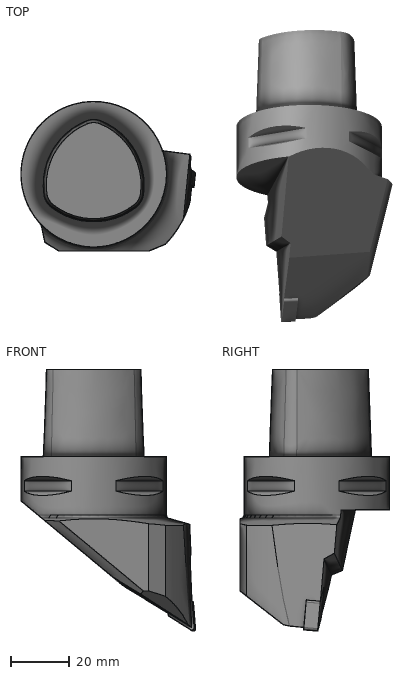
import cadquery as cq
import math

SHANK_HEIGHT = 30.0
SHANK_TAPER_OFFSET = 1.1
LOBE_CENTRE_RADIUS = 12.0
LOBE_TIP_RADIUS = 18.8
SHANK_FLAT_RADIUS = 16.4

FLANGE_RADIUS = 50.0 / 2
FLANGE_HEIGHT = 18.3
SLOT_COUNT = 4
SLOT_DEPTH = 2.8
SLOT_MID_Z = -10.1
SLOT_FLOOR_HEIGHT = 3.5
SLOT_MOUTH_HEIGHT = 6.6

HEAD_RADIUS = 34.5
HEAD_BOTTOM_Z = -67.5
NECK_BOTTOM_Z = -20.1
SHOULDER_RADIUS = 25.65
SHOULDER_Z = -21.15
SHOULDER_SLOPE = 0.28
FRONT_Y = -26.5
FRONT_CORNER_X = 18.9
FRONT_CHAMFER_DEPTH = 2.3

UNDERSIDE_TOP_Z = -15.2
UNDERSIDE_SLOPE = 0.83
UNDERSIDE_CHAMFER_Y = 3.1
UNDERSIDE_CHAMFER_X = 4.8
NOSE_POINT = (11.25, 3.9, -45.1)
NOSE_SLOPE_X = 0.62
NOSE_SLOPE_Y = 0.03
FRONT_BEVEL_Z = -46.2
FRONT_BEVEL_SLOPE = 0.78
END_POINT = (33.0, 6.9, -22.95)
END_SLOPE_Y = 0.1
END_SLOPE_Z = 0.05

RAKE_Y = 12.4
RAKE_SLOPE_X = 0.11
RAKE_SLOPE_Z = 0.082
CHIP_FACE_DROP = 3.4
CHIP_WALL_POINT = (3.8, 8.8, -39.15)
CHIP_WALL_SLOPE_X = 0.25
CHIP_WALL_SLOPE_Y = 0.53

INSERT_TIP_X = 35.9
INSERT_TIP_DROP = 60.9
INSERT_EDGE = 10.8
INSERT_SIDE_LEAN = 5
INSERT_CORNER_ANGLE = 53
INSERT_THICKNESS = 4.9
INSERT_CORNER_RADIUS = 0.8

BIG = 180
RAKE_NORMAL = (RAKE_SLOPE_X, 1, -RAKE_SLOPE_Z)


def half_space(point, normal):
    """Block filling the side of a plane toward which the normal points."""
    return cq.Workplane(cq.Plane(origin=point, normal=normal)).rect(BIG, BIG).extrude(BIG)


def polar(radius, degrees):
    angle = math.radians(degrees)
    return radius * math.cos(angle), radius * math.sin(angle)


def lobed_outline(offset, z):
    """Three corner arcs joined tangentially to three broad side arcs, moved inward by offset."""
    corner_radius = LOBE_TIP_RADIUS - LOBE_CENTRE_RADIUS
    gap = SHANK_FLAT_RADIUS - corner_radius
    side_centre = (LOBE_CENTRE_RADIUS**2 - gap**2) / (2 * gap - LOBE_CENTRE_RADIUS)
    joint_y = LOBE_CENTRE_RADIUS * math.sin(math.radians(60))
    joint_x = LOBE_CENTRE_RADIUS * math.cos(math.radians(60)) + side_centre
    joint_angle = 60 - math.degrees(math.atan2(joint_y, joint_x))
    tip = LOBE_TIP_RADIUS - offset
    side = SHANK_FLAT_RADIUS - offset

    def joint(lobe_angle, sign):
        cx, cy = polar(LOBE_CENTRE_RADIUS, lobe_angle)
        dx, dy = polar(corner_radius - offset, lobe_angle + sign * joint_angle)
        return cx + dx, cy + dy

    lobes = (90, 210, 330)
    outline = cq.Workplane("XY", origin=(0, 0, z)).moveTo(*joint(lobes[0], -1))
    for lobe in lobes:
        outline = outline.threePointArc(polar(tip, lobe), joint(lobe, 1))
        outline = outline.threePointArc(polar(side, lobe + 60), joint(lobe + 120, -1))
    return outline.wire().val()


def make_shank():
    foot = lobed_outline(0, 0)
    top = lobed_outline(SHANK_TAPER_OFFSET, SHANK_HEIGHT)
    return cq.Workplane(cq.Solid.makeLoft([foot, top], True))


def gripper_slot(angle):
    """Straight slot across the flange rim with sides that open outward."""
    floor_x = FLANGE_RADIUS - SLOT_DEPTH
    outer_x = FLANGE_RADIUS + SLOT_DEPTH
    flare = (SLOT_MOUTH_HEIGHT - SLOT_FLOOR_HEIGHT) / 2
    half_floor = SLOT_FLOOR_HEIGHT / 2
    half_outer = half_floor + 2 * flare
    section = [
        (floor_x, SLOT_MID_Z - half_floor),
        (outer_x, SLOT_MID_Z - half_outer),
        (outer_x, SLOT_MID_Z + half_outer),
        (floor_x, SLOT_MID_Z + half_floor),
    ]
    slot = cq.Workplane("XZ").polyline(section).close().extrude(FLANGE_RADIUS, both=True)
    return slot.rotate((0, 0, 0), (0, 0, 1), angle)


def make_flange():
    flange = cq.Workplane("XY").circle(FLANGE_RADIUS).extrude(-FLANGE_HEIGHT)
    for i in range(SLOT_COUNT):
        flange = flange.cut(gripper_slot((i + 0.5) * 360 / SLOT_COUNT))
    return flange


def head_blank():
    """Round blank with a hollow neck blend, a conical shoulder and a flat front."""
    rim_z = SHOULDER_Z - SHOULDER_SLOPE * (HEAD_RADIUS - SHOULDER_RADIUS)
    blend_mid = (
        FLANGE_RADIUS + (SHOULDER_RADIUS - FLANGE_RADIUS) * 0.3,
        NECK_BOTTOM_Z + (SHOULDER_Z - NECK_BOTTOM_Z) * 0.7,
    )
    blank = (
        cq.Workplane("XZ")
        .moveTo(0, -FLANGE_HEIGHT)
        .lineTo(FLANGE_RADIUS, -FLANGE_HEIGHT)
        .lineTo(FLANGE_RADIUS, NECK_BOTTOM_Z)
        .threePointArc(blend_mid, (SHOULDER_RADIUS, SHOULDER_Z))
        .lineTo(HEAD_RADIUS, rim_z)
        .lineTo(HEAD_RADIUS, HEAD_BOTTOM_Z)
        .lineTo(0, HEAD_BOTTOM_Z)
        .close()
        .revolve(360, (0, 0, 0), (0, 1, 0))
    )
    blank = blank.cut(half_space((0, FRONT_Y, 0), (0, -1, 0)))
    chamfer_y = FRONT_Y + FRONT_CHAMFER_DEPTH
    chamfer_x = math.sqrt(HEAD_RADIUS**2 - chamfer_y**2)
    chamfer_normal = (FRONT_CHAMFER_DEPTH, FRONT_CORNER_X - chamfer_x, 0)
    return blank.cut(half_space((FRONT_CORNER_X, FRONT_Y, 0), chamfer_normal))


def underside_cut():
    return half_space((-FLANGE_RADIUS, 0, UNDERSIDE_TOP_Z), (-UNDERSIDE_SLOPE, 0, -1))


def underside_chamfer():
    """Bevel along the edge between the sloping underside and the front face."""
    point = (-FLANGE_RADIUS, FRONT_Y + UNDERSIDE_CHAMFER_Y, UNDERSIDE_TOP_Z)
    y_slope = UNDERSIDE_SLOPE * UNDERSIDE_CHAMFER_X / UNDERSIDE_CHAMFER_Y
    return half_space(point, (-UNDERSIDE_SLOPE, -y_slope, -1))


def chip_recess():
    """Space above the chip face and below its sloping wall."""
    above_face = half_space((0, RAKE_Y - CHIP_FACE_DROP, 0), RAKE_NORMAL)
    below_wall = half_space(CHIP_WALL_POINT, (CHIP_WALL_SLOPE_X, CHIP_WALL_SLOPE_Y, -1))
    return above_face.intersect(below_wall)


def make_head():
    head = head_blank()
    trims = [
        underside_chamfer(),
        half_space(NOSE_POINT, (-NOSE_SLOPE_X, -NOSE_SLOPE_Y, -1)),
        half_space((0, FRONT_Y, FRONT_BEVEL_Z), (0, -FRONT_BEVEL_SLOPE, -1)),
        half_space(END_POINT, (1, -END_SLOPE_Y, END_SLOPE_Z)),
        half_space((0, RAKE_Y, 0), RAKE_NORMAL),
        chip_recess(),
    ]
    for trim in trims:
        head = head.cut(trim)
    return head


def make_insert():
    """Rhombic plate whose outer face is flush with the chip face."""
    plane = cq.Plane(
        origin=(0, RAKE_Y - CHIP_FACE_DROP, 0),
        xDir=(1, -RAKE_SLOPE_X, 0),
        normal=RAKE_NORMAL,
    )
    side = polar(INSERT_EDGE, -90 - INSERT_SIDE_LEAN)
    bottom = polar(INSERT_EDGE, -90 - INSERT_SIDE_LEAN - INSERT_CORNER_ANGLE)
    return (
        cq.Workplane(plane)
        .moveTo(INSERT_TIP_X, INSERT_TIP_DROP)
        .line(*side)
        .line(*bottom)
        .line(-side[0], -side[1])
        .close()
        .extrude(-INSERT_THICKNESS)
        .edges(cq.selectors.ParallelDirSelector(cq.Vector(*RAKE_NORMAL)))
        .fillet(INSERT_CORNER_RADIUS)
    )


insert = make_insert()
holder = make_flange().union(make_head()).cut(underside_cut())
holder = holder.union(make_shank()).cut(insert)

result = cq.Compound.makeCompound([holder.solids().val(), insert.solids().val()])